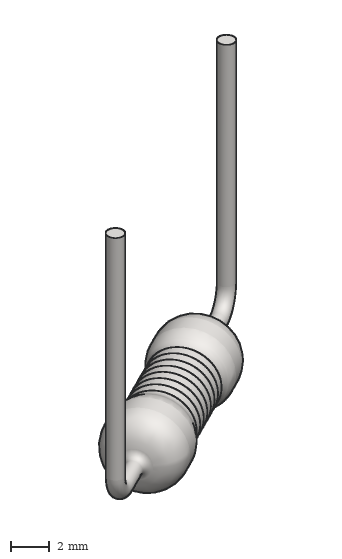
import cadquery as cq
import math

overall_length = 21.0
overall_height = 18.4
cap_radius = 4.8 / 2
waist_radius = 4.07 / 2
band_radius = 4.1 / 2
lead_radius = 1.0 / 2
bend_radius = 1.47

waist_end = 2.25
cap_start = 3.61
cap_end = 4.66

dome_radius = 1.68
root_fillet = 0.48

band_count = 4
band_width = 2 * waist_end / (2 * band_count - 1)

lead_y = overall_length / 2 - lead_radius
lead_top = overall_height - cap_radius


def arc_point(center, radius, angle):
    """Point on a circle in the (radial, axial) profile plane."""
    return (center[0] + radius * math.cos(angle), center[1] + radius * math.sin(angle))


def end_cap():
    """Revolved +Y cap, from the end of the waist out to the lead root."""
    rise = cap_radius - waist_radius
    run = cap_start - waist_end
    blend_radius = (run**2 + rise**2) / (4 * rise)
    half_turn = math.asin(run / 2 / blend_radius) / 2
    inflection = ((waist_radius + cap_radius) / 2, (waist_end + cap_start) / 2)
    flare_center = (waist_radius + blend_radius, waist_end)
    shoulder_center = (cap_radius - blend_radius, cap_start)
    flare_mid = arc_point(flare_center, blend_radius, math.pi - half_turn)
    shoulder_mid = arc_point(shoulder_center, blend_radius, -half_turn)

    dome_center = (cap_radius - dome_radius, cap_end)
    root_radial = lead_radius + root_fillet
    center_distance = dome_radius + root_fillet
    contact_angle = math.acos((root_radial - dome_center[0]) / center_distance)
    root_y = cap_end + center_distance * math.sin(contact_angle)
    root_center = (root_radial, root_y)
    dome_mid = arc_point(dome_center, dome_radius, contact_angle / 2)
    contact = arc_point(dome_center, dome_radius, contact_angle)
    root_mid = arc_point(root_center, root_fillet, math.pi + contact_angle / 2)

    return (
        cq.Workplane("XY")
        .moveTo(0, waist_end)
        .lineTo(waist_radius, waist_end)
        .threePointArc(flare_mid, inflection)
        .threePointArc(shoulder_mid, (cap_radius, cap_start))
        .lineTo(cap_radius, cap_end)
        .threePointArc(dome_mid, contact)
        .threePointArc(root_mid, (lead_radius, root_y))
        .lineTo(0, root_y)
        .close()
        .revolve(360, (0, 0, 0), (0, 1, 0))
    )


def axial_cylinder(start_y, radius, length):
    """Cylinder around the body axis, running from start_y toward +Y."""
    return cq.Workplane("XZ", origin=(0, start_y, 0)).circle(radius).extrude(-length)


def lead():
    """Round wire from inside the +Y cap, bent up to its free end."""
    bend_center = (lead_y - bend_radius, bend_radius)
    bend_mid = arc_point(bend_center, bend_radius, -math.pi / 4)
    path = (
        cq.Workplane("YZ")
        .moveTo(cap_end, 0)
        .lineTo(bend_center[0], 0)
        .threePointArc(bend_mid, (lead_y, bend_radius))
        .lineTo(lead_y, lead_top)
    )
    return cq.Workplane("XZ", origin=(0, cap_end, 0)).circle(lead_radius).sweep(path)


waist = axial_cylinder(-waist_end, waist_radius, 2 * waist_end)
cap_with_lead = end_cap().union(lead())
result = waist.union(cap_with_lead).union(cap_with_lead.mirror("XZ"))

for index in range(band_count):
    band_start = -waist_end + 2 * index * band_width
    result = result.union(axial_cylinder(band_start, band_radius, band_width))